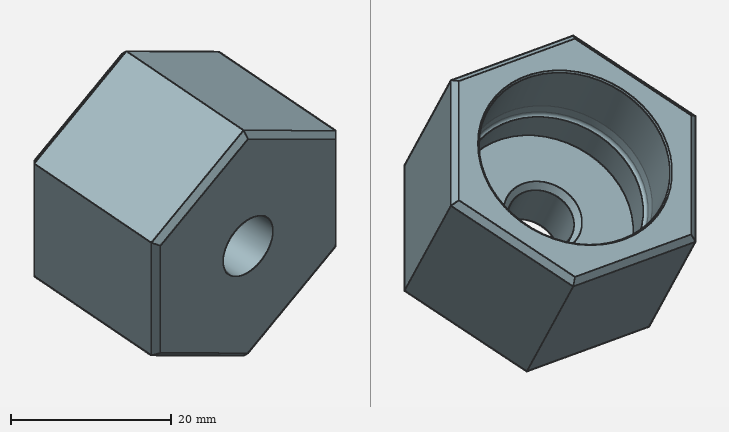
import cadquery as cq

length = 22.88
across_corners = 36.65
edge_chamfer = 0.8

mouth_radius = 12.6
mouth_chamfer = 0.22
bore_radius = mouth_radius - mouth_chamfer
bore_depth = 8.45
taper_length = 1.2
taper_end_radius = 12.2
seat_radius = 11.73
seat_fillet = taper_end_radius - seat_radius
floor_depth = 14.75

hole_radius = 4.3
hole_chamfer = 0.8


def hexagonal_body():
    """Hexagonal prism with corners at +Z and -Z and chamfered end edges."""
    body = (
        cq.Workplane("YZ")
        .polygon(6, across_corners)
        .extrude(length)
        .rotate((0, 0, 0), (1, 0, 0), 90)
    )
    return body.faces("<X or >X").edges().chamfer(edge_chamfer)


def bore_cutter():
    """Revolved cavity: chamfered mouth, tapered step, seat bore and end hole."""
    taper_end = bore_depth + taper_length
    fillet_offset = seat_fillet * 0.5**0.5
    fillet_middle = (taper_end + fillet_offset, seat_radius + fillet_offset)
    shoulder = taper_end + seat_fillet
    return (
        cq.Workplane("XY")
        .moveTo(0, 0)
        .lineTo(0, mouth_radius)
        .lineTo(mouth_chamfer, bore_radius)
        .lineTo(bore_depth, bore_radius)
        .lineTo(taper_end, taper_end_radius)
        .threePointArc(fillet_middle, (shoulder, seat_radius))
        .lineTo(floor_depth, seat_radius)
        .lineTo(floor_depth, hole_radius + hole_chamfer)
        .lineTo(floor_depth + hole_chamfer, hole_radius)
        .lineTo(length, hole_radius)
        .lineTo(length, 0)
        .close()
        .revolve(360, (0, 0, 0), (1, 0, 0))
    )


result = hexagonal_body().cut(bore_cutter())